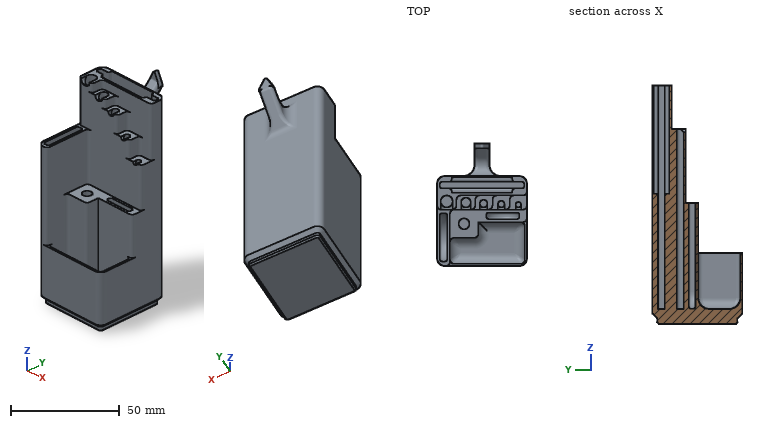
import cadquery as cq
import math

SIDE = 41.5
HALF = SIDE / 2
CORNER_RADIUS = 3.75
TOTAL_HEIGHT = 109.75
EDGE_RADIUS = 2
OVERHANG = 5.0
PICK_MARGIN = 0.01

FOOT_LOWER_CHAMFER = 0.8
FOOT_STRAIGHT = 1.8
FOOT_UPPER_CHAMFER = 2.15
FOOT_STRAIGHT_TOP = FOOT_LOWER_CHAMFER + FOOT_STRAIGHT
FOOT_HEIGHT = FOOT_STRAIGHT_TOP + FOOT_UPPER_CHAMFER
FOOT_OVERLAP = 1.0

FLOOR = 7.0

TOWER_FRONT = 5.25
BACK_WALL_FRONT = 11.75
KEY_DECKS = [
    (-11.75, TOTAL_HEIGHT, 5.5, -16.25),
    (-3.1, 104.75, 4.5, -7.4),
    (4.83, 99.75, 3.5, 0.75),
    (12.75, 89.75, 3.0, 8.85),
    (HALF, 79.75, 2.5, 16.7),
]
KEY_HOLE_WALL = 1.0

ARM_RIGHT = -14.75
ARM_TOP = 84.75
DECK_TOP = 55.75
DECK_FRONT = -0.5
DECK_BLOCK_FRONT = -7.75
DECK_BLOCK_RIGHT = -1.65
TRAY_TOP = 32.75
TRAY_WALL = 1.0
TRAY_CORNER_RADIUS = 2.0
TRAY_FLOOR_RADIUS = 5.0

DECK_HOLE_DIAMETER = 5.0
DECK_HOLE_X = -8.25
DECK_HOLE_Y = -1.3

ARM_SLOT = (22.25, 3.4, -17.7, -7.5)
DECK_SLOT = (15.25, 3.0, 9.6, 2.4)
SLOT_EDGE_RADIUS = 1.15

BACK_SLOT_LENGTH = 38.8
BACK_SLOT_WIDTH = 3.0
BACK_SLOT_Y = 16.5
BACK_SLOT_CORNER_RADIUS = 1.0
RECESS_LENGTH = 28.0
RECESS_WIDTH = 7.1
RECESS_FLOOR = 60.0
RECESS_CORNER_RADIUS = 0.75
RECESS_LIP_RADIUS = 1.1

HOOK_WIDTH = 7.0
HOOK_REACH = 15.0
HOOK_TIP_THICKNESS = 2.3
HOOK_TIP_PLATE_RISE = 1.25
HOOK_STRUT_HEIGHT = 6.3
HOOK_ROOT_BOTTOM = TOTAL_HEIGHT - 23.3
HOOK_ROOT_RADIUS = 5.0
HOOK_EDGE_RADIUS = 1.8
HOOK_PLATE_THICKNESS = 0.5
HOOK_PLATE_WIDTH = 27.0
HOOK_PLATE_HEIGHT = 30.0
HOOK_GABLE_ANGLE = 65.0
HOOK_GABLE_LENGTH = 5.5
HOOK_PEAK_RADIUS = 0.85
HOOK_SHOULDER_RADIUS = 2.75
HOOK_OUTER_BEND_RADIUS = 2.0
HOOK_INNER_BEND_RADIUS = 1.0


def rounded_block(side, radius, bottom, height):
    return (
        cq.Workplane("XY").workplane(offset=bottom)
        .rect(side, side).extrude(height)
        .edges("|Z").fillet(radius)
    )


def make_foot():
    straight_side = SIDE - 2 * FOOT_UPPER_CHAMFER
    straight_radius = CORNER_RADIUS - FOOT_UPPER_CHAMFER
    lower = rounded_block(straight_side, straight_radius, 0, FOOT_HEIGHT)
    lower = lower.faces("<Z").chamfer(FOOT_LOWER_CHAMFER)
    upper = rounded_block(SIDE, CORNER_RADIUS, FOOT_STRAIGHT_TOP, FOOT_UPPER_CHAMFER + FOOT_OVERLAP)
    upper = upper.faces("<Z").chamfer(FOOT_UPPER_CHAMFER)
    return lower.union(upper)


def prism(points, bottom, top):
    return cq.Workplane("XY").workplane(offset=bottom).polyline(points).close().extrude(top - bottom)


def key_deck(right, top):
    """Back wall of the tower plus a deck running from the left side to `right`."""
    rear = HALF + OVERHANG
    if right == HALF:
        points = [(-HALF, rear), (-HALF, TOWER_FRONT), (right, TOWER_FRONT), (right, rear)]
    else:
        points = [
            (-HALF, rear), (-HALF, TOWER_FRONT), (right, TOWER_FRONT),
            (right, BACK_WALL_FRONT), (HALF, BACK_WALL_FRONT), (HALF, rear),
        ]
    return prism(points, FOOT_HEIGHT, top).edges("|Z").fillet(EDGE_RADIUS)


def make_arm():
    rear = HALF + OVERHANG
    inside_tower = KEY_DECKS[1][0]
    points = [
        (-HALF, rear), (-HALF, -HALF), (ARM_RIGHT, -HALF),
        (ARM_RIGHT, TOWER_FRONT), (inside_tower, TOWER_FRONT), (inside_tower, rear),
    ]
    return prism(points, FOOT_HEIGHT, ARM_TOP).edges("|Z").fillet(EDGE_RADIUS)


def make_deck():
    points = [
        (-HALF, BACK_WALL_FRONT), (-HALF, DECK_BLOCK_FRONT), (DECK_BLOCK_RIGHT, DECK_BLOCK_FRONT),
        (DECK_BLOCK_RIGHT, DECK_FRONT), (HALF, DECK_FRONT), (HALF, BACK_WALL_FRONT),
    ]
    deck = prism(points, FOOT_HEIGHT, DECK_TOP)
    for x, y in [(DECK_BLOCK_RIGHT, DECK_BLOCK_FRONT), (HALF, DECK_FRONT)]:
        deck = deck.edges(cq.selectors.NearestToPointSelector((x, y, DECK_TOP / 2))).fillet(EDGE_RADIUS)
    return deck


def make_body():
    envelope = rounded_block(SIDE, CORNER_RADIUS, FOOT_HEIGHT, TOTAL_HEIGHT - FOOT_HEIGHT)
    masses = make_arm().union(make_deck())
    for right, top, _, _ in KEY_DECKS:
        masses = masses.union(key_deck(right, top))
    tray = rounded_block(SIDE, CORNER_RADIUS, FOOT_HEIGHT, TRAY_TOP - FOOT_HEIGHT)
    tray_corner = (ARM_RIGHT, DECK_BLOCK_FRONT, (FOOT_HEIGHT + DECK_TOP) / 2)
    masses = masses.edges(cq.selectors.NearestToPointSelector(tray_corner)).fillet(TRAY_CORNER_RADIUS)
    return masses.intersect(envelope).union(tray).union(make_foot())


def tray_pocket():
    right = HALF - TRAY_WALL
    front = -HALF + TRAY_WALL
    points = [
        (ARM_RIGHT, front), (right, front), (right, DECK_FRONT),
        (DECK_BLOCK_RIGHT, DECK_FRONT), (DECK_BLOCK_RIGHT, DECK_BLOCK_FRONT), (ARM_RIGHT, DECK_BLOCK_FRONT),
    ]
    pocket = prism(points, FLOOR, TRAY_TOP)
    block_edge = (DECK_BLOCK_RIGHT, DECK_BLOCK_FRONT, TRAY_TOP / 2)
    pocket = pocket.edges(cq.selectors.NearestToPointSelector(block_edge)).fillet(EDGE_RADIUS)
    pocket = pocket.faces("<Z").edges().fillet(TRAY_FLOOR_RADIUS)
    upper_level = (FLOOR + TRAY_FLOOR_RADIUS + TRAY_TOP) / 2
    corners = [(ARM_RIGHT, front), (right, front), (right, DECK_FRONT), (ARM_RIGHT, DECK_BLOCK_FRONT)]
    for x, y in corners:
        corner_edge = cq.selectors.NearestToPointSelector((x, y, upper_level))
        pocket = pocket.edges(corner_edge).fillet(TRAY_CORNER_RADIUS)
    return pocket


def key_hole(top, diameter, x):
    """Upright hole plus the half-round trough for the short leg of the key."""
    radius = diameter / 2
    y = TOWER_FRONT + KEY_HOLE_WALL + radius
    hole = cq.Workplane("XY").workplane(offset=FLOOR).center(x, y).circle(radius).extrude(top - FLOOR)
    trough = (
        cq.Workplane("XZ", origin=(x, y, top)).circle(radius)
        .extrude(y - TOWER_FRONT + KEY_HOLE_WALL)
    )
    return hole.union(trough)


def round_bottom_slot(length, width, top):
    """Slot along X, centred on the Z axis, ending in a half-round bottom."""
    radius = length / 2
    slot = (
        cq.Workplane("XZ", origin=(0, width / 2, 0))
        .moveTo(-radius, top + OVERHANG)
        .lineTo(-radius, FLOOR + radius)
        .threePointArc((0, FLOOR), (radius, FLOOR + radius))
        .lineTo(radius, top + OVERHANG)
        .close().extrude(width)
    )
    return slot.faces("|Y").edges("not >Z").fillet(SLOT_EDGE_RADIUS)


def back_slot():
    slot = (
        cq.Workplane("XY").workplane(offset=FLOOR).center(0, BACK_SLOT_Y)
        .rect(BACK_SLOT_LENGTH, BACK_SLOT_WIDTH).extrude(TOTAL_HEIGHT - FLOOR)
        .edges("|Z").fillet(BACK_SLOT_CORNER_RADIUS)
    )
    recess = (
        cq.Workplane("XY").workplane(offset=RECESS_FLOOR).center(0, BACK_SLOT_Y)
        .rect(RECESS_LENGTH, RECESS_WIDTH).extrude(TOTAL_HEIGHT - RECESS_FLOOR)
        .edges("|Z").fillet(RECESS_CORNER_RADIUS)
    )
    cutter = slot.union(recess)
    half_length = RECESS_LENGTH / 2 + PICK_MARGIN
    half_width = BACK_SLOT_WIDTH / 2 + PICK_MARGIN
    lip = cq.selectors.BoxSelector(
        (-half_length, BACK_SLOT_Y - half_width, RECESS_FLOOR - PICK_MARGIN),
        (half_length, BACK_SLOT_Y + half_width, TOTAL_HEIGHT - PICK_MARGIN),
    )
    return cutter.edges(lip).fillet(RECESS_LIP_RADIUS)


def hook_gable():
    """Block whose outline, seen along Y, is the pointed upper end of the hook tip."""
    half_width = HOOK_WIDTH / 2
    slope = math.radians(HOOK_GABLE_ANGLE)
    apex = TOTAL_HEIGHT + HOOK_PEAK_RADIUS * (1 / math.cos(slope) - 1)
    shoulder = apex - half_width * math.tan(slope)
    gable = (
        cq.Workplane("XZ", origin=(0, HALF + HOOK_REACH, 0))
        .polyline([
            (-half_width, HOOK_ROOT_BOTTOM), (half_width, HOOK_ROOT_BOTTOM),
            (half_width, shoulder), (0, apex), (-half_width, shoulder),
        ])
        .close().extrude(HOOK_GABLE_LENGTH)
    )
    gable = gable.edges("|Y and >Z").fillet(HOOK_PEAK_RADIUS)
    for x in (-half_width, half_width):
        corner = cq.selectors.NearestToPointSelector((x, HALF + HOOK_REACH - HOOK_GABLE_LENGTH / 2, shoulder))
        gable = gable.edges(corner).fillet(HOOK_SHOULDER_RADIUS)
    return gable


def make_hook():
    """Strut rising at 45 degrees to an upright tip, flared where it meets a thin root plate."""
    root = HALF - HOOK_PLATE_THICKNESS / 2
    tip = HALF + HOOK_REACH
    tip_inner = tip - HOOK_TIP_THICKNESS
    lower = HOOK_ROOT_BOTTOM - HALF
    upper = lower + HOOK_STRUT_HEIGHT
    bar = (
        cq.Workplane("YZ", origin=(-HOOK_WIDTH / 2, 0, 0))
        .polyline([
            (root, lower + root), (tip, lower + tip), (tip, TOTAL_HEIGHT),
            (tip_inner, TOTAL_HEIGHT), (tip_inner, upper + tip_inner), (root, upper + root),
        ])
        .close().extrude(HOOK_WIDTH)
    )
    plate = (
        cq.Workplane("XY")
        .box(HOOK_PLATE_WIDTH, HOOK_PLATE_THICKNESS, HOOK_PLATE_HEIGHT)
        .translate((0, HALF - HOOK_PLATE_THICKNESS / 2, TOTAL_HEIGHT - HOOK_PLATE_HEIGHT / 2))
    )
    hook = bar.union(plate)
    junction = cq.selectors.BoxSelector(
        (-HOOK_WIDTH, HALF - PICK_MARGIN, HOOK_ROOT_BOTTOM - PICK_MARGIN),
        (HOOK_WIDTH, HALF + PICK_MARGIN, TOTAL_HEIGHT - PICK_MARGIN),
    )
    hook = hook.edges(junction).fillet(HOOK_ROOT_RADIUS)
    strut_edges = cq.selectors.ParallelDirSelector(cq.Vector(0, 1, 1))
    hook = hook.edges(strut_edges).fillet(HOOK_EDGE_RADIUS)
    outer_bend = cq.selectors.NearestToPointSelector((0, tip, lower + tip))
    hook = hook.edges(outer_bend).fillet(HOOK_OUTER_BEND_RADIUS)
    inner_bend = cq.selectors.NearestToPointSelector((0, tip_inner, upper + tip_inner))
    hook = hook.edges(inner_bend).fillet(HOOK_INNER_BEND_RADIUS)
    gable_start = tip - HOOK_GABLE_LENGTH
    inner_part = hook.intersect(
        cq.Workplane("XY").box(SIDE, gable_start, TOTAL_HEIGHT, centered=(True, False, False))
    )
    tip_plate_bottom = lower + tip + HOOK_TIP_PLATE_RISE
    tip_plate = (
        cq.Workplane("XY", origin=(0, tip - HOOK_TIP_THICKNESS / 2, tip_plate_bottom))
        .rect(HOOK_WIDTH, HOOK_TIP_THICKNESS)
        .extrude(TOTAL_HEIGHT - tip_plate_bottom)
    )
    return hook.union(tip_plate).intersect(hook_gable()).union(inner_part)


def deck_hole():
    return (
        cq.Workplane("XY").workplane(offset=FLOOR).center(DECK_HOLE_X, DECK_HOLE_Y)
        .circle(DECK_HOLE_DIAMETER / 2).extrude(DECK_TOP - FLOOR)
    )


def arm_slot():
    length, width, x, y = ARM_SLOT
    slot = round_bottom_slot(length, width, ARM_TOP)
    return slot.rotate((0, 0, 0), (0, 0, 1), 90).translate((x, y, 0))


def deck_slot():
    length, width, x, y = DECK_SLOT
    return round_bottom_slot(length, width, DECK_TOP).translate((x, y, 0))


body = make_body().cut(tray_pocket())
for _, deck_level, key_diameter, key_x in KEY_DECKS:
    body = body.cut(key_hole(deck_level, key_diameter, key_x))
for cutter in (arm_slot(), deck_slot(), deck_hole(), back_slot()):
    body = body.cut(cutter)
result = body.union(make_hook())